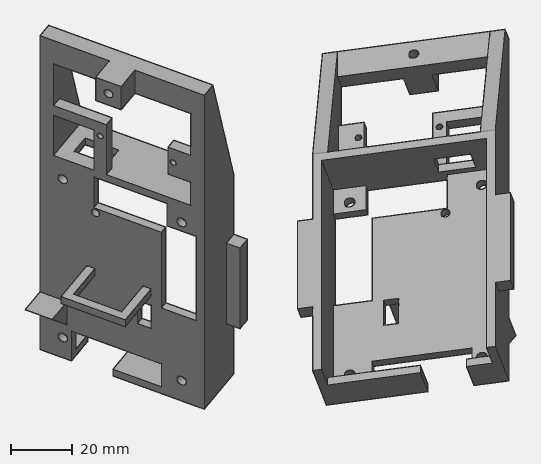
import cadquery as cq

height = 136.0
body_width = 60.9
body_depth = 20.0
half_width = body_width / 2
thin_wall = 3.0
thick_wall = 5.0
bracket_thickness = 4.0

top_depth = 5.8
top_bar_height = 10.0

shelf_top = 86.2
shelf_bottom = shelf_top - thin_wall
floor_depth = 11.0

bracket_top = 107.8
post_left = -10.5
post_right = -5.8
rail_bottom = 103.6
tab_left = 17.0
tab_bottom = 96.2

plate_right = 14.5
plate_opening_bottom = 37.1
plate_top = 69.9
corner_left = 16.6
corner_bottom = 73.6
notch_left = -18.8
notch_top = 12.9
floor_slot_right = -3.4

cable_x = (-20.5, -8.2)
cable_depth = (5.0, 12.5)

window_left = 5.7
window_z = (26.7, 36.6)

step_length = 2.0
step_height = 0.5

ear_size = 5.0
ear_bottom = 25.5
ear_top = 60.4
lug_half_width = 4.8
lug_length = 9.2
hook_size = 10.0
hook_top = 25.0
loop_left = -13.0
loop_right = 10.7
loop_bottom = 40.8
loop_length = 17.4

corner_hole_diameter = 3.5
corner_hole_x = 22.0
corner_hole_heights = (8.8, 77.4)
bracket_hole_diameter = 2.2
bracket_hole_z = 102.0
bracket_hole_xs = (-8.2, 18.9)
lug_hole_diameter = 3.3
lug_hole_z = 131.0
plate_hole_diameter = 3.0
plate_hole_x = -9.9
plate_hole_z = 68.0


def box(x_range, y_range, z_range):
    """Axis-aligned box given by its start and end on each axis."""
    (x0, x1), (y0, y1), (z0, z1) = x_range, y_range, z_range
    return cq.Workplane("XY").box(x1 - x0, y1 - y0, z1 - z0, centered=False).translate((x0, y0, z0))


def side_profile(points, x_start, width):
    """Outline of (Y, Z) points extruded along +X."""
    return cq.Workplane("YZ").polyline(points).close().extrude(width).translate((x_start, 0, 0))


def front_hole(x, z, diameter):
    """Round cutter along Y that reaches from the lug face to the back."""
    length = lug_length + body_depth
    return cq.Workplane("XZ").center(x, z).circle(diameter / 2).extrude(-length).translate((0, -lug_length, 0))


full_depth = (0, body_depth)
behind_plate = (thin_wall, body_depth)
inner_half = half_width - thick_wall
cavity_half = half_width - thin_wall

body_outline = [
    (0, 0),
    (body_depth, 0),
    (body_depth, shelf_top),
    (top_depth, height),
    (0, height),
]
body = side_profile(body_outline, -half_width, body_width)

body = body.cut(box((-inner_half, inner_half), full_depth, (shelf_top, height - top_bar_height)))
body = body.cut(box((-inner_half, inner_half), (top_depth, body_depth), (shelf_top, height)))
bracket_depth = (0, bracket_thickness)
body = body.union(box((post_left, post_right), bracket_depth, (shelf_top, bracket_top)))
body = body.union(box((-inner_half, post_right), bracket_depth, (rail_bottom, bracket_top)))
body = body.union(box((tab_left, inner_half), bracket_depth, (tab_bottom, bracket_top)))

body = body.cut(box((-cavity_half, cavity_half), behind_plate, (thin_wall, shelf_bottom)))
body = body.cut(box((-cavity_half, cavity_half), (floor_depth, body_depth), (0, thin_wall)))

step_depth = (thin_wall, thin_wall + step_length)
body = body.union(box((plate_right, cavity_half), step_depth, (thin_wall, thin_wall + step_height)))

body = body.cut(box(cable_x, cable_depth, (shelf_bottom, shelf_top)))

plate_depth = (0, thin_wall)
body = body.cut(box((post_left, corner_left), plate_depth, (plate_top, shelf_bottom)))
body = body.cut(box((plate_right, cavity_half), plate_depth, (plate_opening_bottom, corner_bottom)))
body = body.cut(box((plate_right, corner_left), plate_depth, (corner_bottom, shelf_bottom)))
body = body.cut(box((window_left, loop_right), plate_depth, window_z))

body = body.cut(box((notch_left, plate_right), plate_depth, (thin_wall, notch_top)))
body = body.cut(box((notch_left, floor_slot_right), (0, floor_depth), (0, thin_wall)))

for ear_left in (-half_width - ear_size, half_width):
    ear_x = (ear_left, ear_left + ear_size)
    body = body.union(box(ear_x, (body_depth - ear_size, body_depth), (ear_bottom, ear_top)))

body = body.union(box((-lug_half_width, lug_half_width), (-lug_length, 0), (height - top_bar_height, height)))

hook_outline = [(0, hook_top), (-hook_size, hook_top), (0, hook_top - hook_size)]
body = body.union(side_profile(hook_outline, -half_width, hook_size))

loop_z = (loop_bottom, loop_bottom + thin_wall)
loop = box((loop_left, loop_right), (-loop_length, 0), loop_z)
loop = loop.cut(box((loop_left + thin_wall, loop_right - thin_wall), (thin_wall - loop_length, 0), loop_z))
body = body.union(loop)

for hole_z in corner_hole_heights:
    for hole_x in (-corner_hole_x, corner_hole_x):
        body = body.cut(front_hole(hole_x, hole_z, corner_hole_diameter))
for hole_x in bracket_hole_xs:
    body = body.cut(front_hole(hole_x, bracket_hole_z, bracket_hole_diameter))
body = body.cut(front_hole(0, lug_hole_z, lug_hole_diameter))
body = body.cut(front_hole(plate_hole_x, plate_hole_z, plate_hole_diameter))

result = body